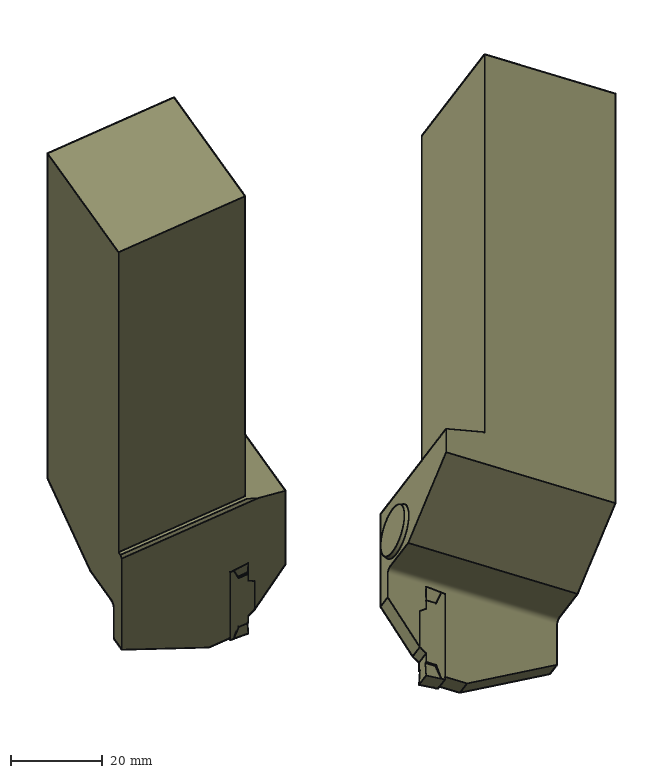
import cadquery as cq
import math

overall_height = 152.4
shank_width = 31.5
shank_depth = 31.7

head_depth = 41.0
head_overhang = 1.45
head_right = shank_width + head_overhang
step_base_z = 46.2
step_top_z = 46.8
step_run = 0.6
shoulder_outer_z = 44.5
left_bevel_z = 38.0
ledge_start_x = 19.0
ledge_z = 26.4
ledge_fillet = 1.2

blade_thickness = 3.7
blade_left = head_right - blade_thickness
blade_bottom_z = 1.2
blade_front_z = 14.0
blade_toe_y = 21.8
blade_back_z = 18.6

boss_outer_diameter = 11.9
boss_height = 0.9
boss_edge_inset = 0.3
boss_x = 25.0
boss_z = 33.8

insert_front_y = 27.1
insert_back_y = shank_depth
insert_length = 24.8
insert_mid_z = insert_length / 2
end_relief = 0.5
hump_y = 33.2
hump_half_outer = 5.0
hump_half_base = 6.2
hump_bottom_z = insert_mid_z - hump_half_outer
tip_relief_depth = 0.5
tip_length = 3.8
tip_base_y = 29.3
tip_end_y = 27.9


def side_prism(points, x_start, x_end):
    """Extrude a closed Y-Z outline from x_start to x_end."""
    return (
        cq.Workplane("YZ", origin=(x_start, 0, 0))
        .polyline(points)
        .close()
        .extrude(x_end - x_start)
    )


def insert_outline():
    """Y-Z outline of the insert, from its lower front corner round to its upper one."""
    return [
        (insert_front_y, end_relief),
        (insert_back_y, 0),
        (insert_back_y, insert_mid_z - hump_half_base),
        (hump_y, hump_bottom_z),
        (hump_y, insert_mid_z + hump_half_outer),
        (insert_back_y, insert_mid_z + hump_half_base),
        (insert_back_y, insert_length),
        (insert_front_y, insert_length - end_relief),
    ]


def make_holder():
    front_outline = (
        cq.Workplane("XZ")
        .moveTo(0, overall_height)
        .lineTo(0, left_bevel_z)
        .lineTo(ledge_start_x, ledge_z)
        .lineTo(blade_left - ledge_fillet, ledge_z)
        .radiusArc((blade_left, ledge_z - ledge_fillet), ledge_fillet)
        .lineTo(blade_left, 0)
        .lineTo(head_right, 0)
        .lineTo(head_right, step_base_z)
        .lineTo(head_right - step_run, step_top_z)
        .lineTo(shank_width, step_top_z)
        .lineTo(shank_width, overall_height)
        .close()
        .extrude(-head_depth)
    )

    side_outline = side_prism(
        [
            (0, overall_height),
            (0, blade_front_z),
            (blade_toe_y, blade_bottom_z),
            (insert_front_y, blade_bottom_z),
            (insert_front_y, hump_bottom_z),
            (hump_y, hump_bottom_z),
            (head_depth, blade_back_z),
            (head_depth, shoulder_outer_z),
            (shank_depth, step_top_z),
            (shank_depth, overall_height),
        ],
        0,
        head_right,
    )
    holder = front_outline.intersect(side_outline)

    holder = holder.cut(side_prism(insert_outline(), blade_left, head_right))

    boss_taper = math.degrees(math.atan(boss_edge_inset / boss_height))
    boss = (
        cq.Workplane("XZ", origin=(boss_x, head_depth, boss_z))
        .circle(boss_outer_diameter / 2 + boss_edge_inset)
        .extrude(-boss_height, taper=boss_taper)
    )
    return holder.union(boss)


def make_tip_relief():
    """Pocket in the left side of the lower tip, deepest at its upper end."""
    tip_outline = side_prism(
        [
            (insert_back_y, 0),
            (insert_back_y, tip_length),
            (tip_base_y, tip_length),
            (tip_end_y, 0),
        ],
        blade_left,
        blade_left + tip_relief_depth,
    )
    wedge = (
        cq.Workplane("XZ")
        .moveTo(blade_left, 0)
        .lineTo(blade_left + tip_relief_depth, tip_length)
        .lineTo(blade_left, tip_length)
        .close()
        .extrude(-insert_back_y)
    )
    return tip_outline.intersect(wedge)


def make_insert():
    insert = side_prism(insert_outline(), blade_left, head_right)

    mid_point = ((blade_left + head_right) / 2, 0, insert_mid_z)
    lower_left = make_tip_relief()
    lower_right = lower_left.mirror("YZ", mid_point)
    for relief in (lower_left, lower_right):
        insert = insert.cut(relief)
        insert = insert.cut(relief.mirror("XY", mid_point))
    return insert


holder = make_holder()
insert = make_insert()
result = cq.Compound.makeCompound([*holder.solids().vals(), *insert.solids().vals()])